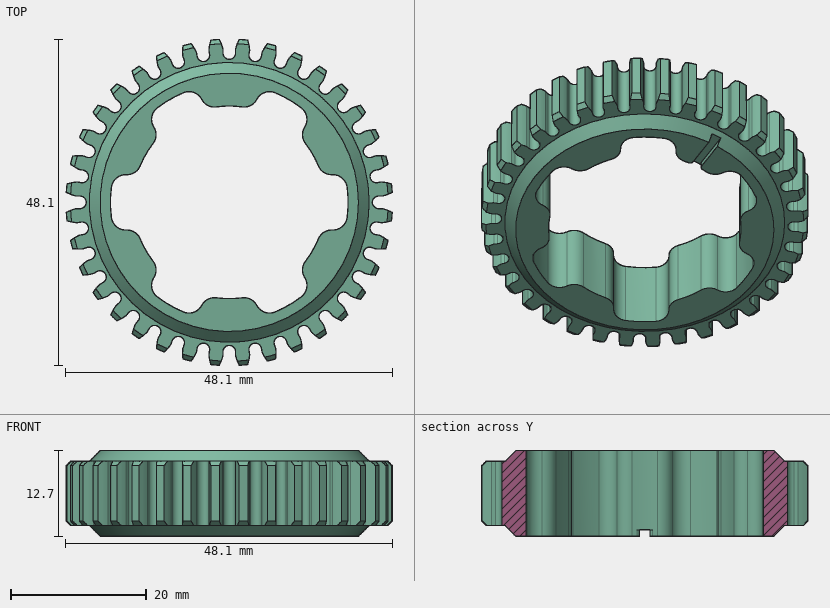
import cadquery as cq
import math

tip_radius = 24.1
height = 12.7

rim_length = 1.6
hub_radius = 20.6

tooth_count = 36
tooth_width = height - 2 * rim_length
tooth_chamfer = 0.65

gap_root_radius = 21.1
gap_half_width = 0.9
gap_straight_end = 22.6
gap_mouth_half_width = 1.5
flank_bulge = 0.05

lobe_count = 6
lobe_radius = 14.2
slot_radius = 17.5
join_angle = math.pi / (2 * lobe_count)
bore_corner_radius = 2.1

notch_width = 1.5
notch_depth = 0.95
notch_mouth_radius = 0.5


def make_disc(radius, length, chamfer):
    """Disc centred on the origin with both rims chamfered at 45 degrees."""
    disc = cq.Workplane("XY", origin=(0, 0, -length / 2)).circle(radius).extrude(length)
    return disc.edges("%CIRCLE").chamfer(chamfer)


def make_tooth_gap():
    """Cutter for one gap on the X axis: round root, parallel sides, curved flanks."""
    root_centre = gap_root_radius + gap_half_width
    clear_radius = tip_radius + gap_half_width
    flank_middle = (
        (gap_straight_end + tip_radius) / 2,
        (gap_half_width + gap_mouth_half_width) / 2 - flank_bulge,
    )
    return (
        cq.Workplane("XY", origin=(0, 0, -tooth_width / 2))
        .moveTo(root_centre, -gap_half_width)
        .lineTo(gap_straight_end, -gap_half_width)
        .threePointArc((flank_middle[0], -flank_middle[1]), (tip_radius, -gap_mouth_half_width))
        .lineTo(clear_radius, -gap_mouth_half_width)
        .lineTo(clear_radius, gap_mouth_half_width)
        .lineTo(tip_radius, gap_mouth_half_width)
        .threePointArc(flank_middle, (gap_straight_end, gap_half_width))
        .lineTo(root_centre, gap_half_width)
        .threePointArc((gap_root_radius, 0), (root_centre, -gap_half_width))
        .close()
        .extrude(tooth_width)
    )


def make_toothed_band():
    band = make_disc(tip_radius, tooth_width, tooth_chamfer)
    gap = make_tooth_gap()
    gap_pitch = 360 / tooth_count
    gaps = [gap.rotate((0, 0, 0), (0, 0, 1), index * gap_pitch).val() for index in range(tooth_count)]
    return band.cut(cq.Workplane(cq.Compound.makeCompound(gaps)))


def polar_point(radius, angle):
    return (radius * math.cos(angle), radius * math.sin(angle))


def make_bore():
    """Cutter whose slots and lobes join through pairs of equal, tangent corner arcs."""
    lobe_corner_centre = lobe_radius + bore_corner_radius
    slot_corner_centre = slot_radius - bore_corner_radius
    join_radius = math.sqrt(
        (lobe_corner_centre**2 + slot_corner_centre**2) / 2 - bore_corner_radius**2
    )

    def angle_from_join(corner_centre):
        """Angle at the gear centre between the arc join and a corner arc centre."""
        cosine = (join_radius**2 + corner_centre**2 - bore_corner_radius**2) / (
            2 * join_radius * corner_centre
        )
        return math.acos(cosine)

    slot_end = join_angle - angle_from_join(slot_corner_centre)
    lobe_start = join_angle + angle_from_join(lobe_corner_centre)
    pitch = 2 * math.pi / lobe_count

    outline = cq.Workplane("XY", origin=(0, 0, -height / 2))
    outline = outline.moveTo(*polar_point(slot_radius, -slot_end))
    for index in range(lobe_count):
        middle = index * pitch
        following = middle + pitch
        outline = (
            outline.threePointArc(
                polar_point(slot_radius, middle), polar_point(slot_radius, middle + slot_end)
            )
            .tangentArcPoint(polar_point(join_radius, middle + join_angle), relative=False)
            .tangentArcPoint(polar_point(lobe_radius, middle + lobe_start), relative=False)
            .threePointArc(
                polar_point(lobe_radius, middle + pitch / 2),
                polar_point(lobe_radius, following - lobe_start),
            )
            .tangentArcPoint(polar_point(join_radius, following - join_angle), relative=False)
            .tangentArcPoint(polar_point(slot_radius, following - slot_end), relative=False)
        )
    return outline.close().extrude(height)


def make_notch():
    """Cutter along +Y whose mouth at the lobe face flares with rounded corners."""
    half_width = notch_width / 2
    mouth_half_width = half_width + notch_mouth_radius
    mouth_y = math.sqrt(lobe_radius**2 - mouth_half_width**2)
    return (
        cq.Workplane("XY", origin=(0, 0, -height / 2))
        .moveTo(-half_width, hub_radius)
        .lineTo(-half_width, mouth_y + notch_mouth_radius)
        .radiusArc((-mouth_half_width, mouth_y), notch_mouth_radius)
        .lineTo(mouth_half_width, mouth_y)
        .radiusArc((half_width, mouth_y + notch_mouth_radius), notch_mouth_radius)
        .lineTo(half_width, hub_radius)
        .close()
        .extrude(notch_depth)
    )


hub = make_disc(hub_radius, height, rim_length)
result = hub.union(make_toothed_band()).cut(make_bore()).cut(make_notch())